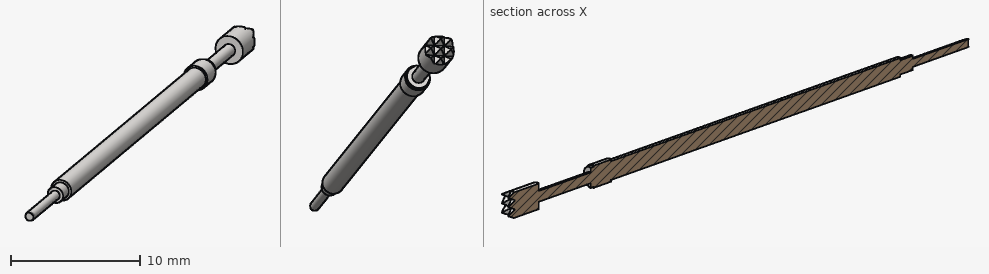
import cadquery as cq


head_diameter = 2.3
stem_diameter = 1.0
collar_diameter = 2.0
barrel_diameter = 1.7
tail_sleeve_diameter = 1.3
tail_pin_diameter = 0.75

overall_length = 44.6
head_length = 3.0
stem_length = 5.0
collar_length = 2.0
barrel_length = 28.0
tail_sleeve_length = 1.2

nose_length = 0.3
nose_diameter = 1.8

pin_chamfer_length = 0.16
pin_chamfer_depth = 0.04

points_per_row = 3
point_pitch = 0.8
point_height = 0.65

dimple_diameter = 0.3
dimple_depth = 0.15
dimple_distances = (1.6, 3.3)

collar_front_y = collar_length
head_base_y = collar_front_y + stem_length
head_tip_y = head_base_y + head_length
barrel_end_y = -barrel_length
sleeve_end_y = barrel_end_y - tail_sleeve_length
pin_end_y = head_tip_y - overall_length


def rod(diameter, start_y, end_y):
    """Round bar on the Y axis between two positions."""
    bar = cq.Workplane("XZ", origin=(0, end_y, 0)).circle(diameter / 2)
    return bar.extrude(end_y - start_y)


def make_collar():
    """Collar with a short, narrower nose at its front."""
    radius = collar_diameter / 2
    profile = (
        cq.Workplane("XY")
        .moveTo(0, 0)
        .lineTo(radius, 0)
        .lineTo(radius, collar_front_y - nose_length)
        .lineTo(nose_diameter / 2, collar_front_y - nose_length)
        .lineTo(nose_diameter / 2, collar_front_y)
        .lineTo(0, collar_front_y)
        .close()
    )
    return profile.revolve(360, (0, 0, 0), (0, 1, 0))


def make_ridges(plane_name):
    """Row of V-shaped ridges whose crests run normal to the given plane."""
    head_radius = head_diameter / 2
    outer_crest = (points_per_row - 1) / 2 * point_pitch
    groove_slope = point_height / (point_pitch / 2)
    rim_y = head_tip_y - groove_slope * (head_radius - outer_crest)
    valley_y = head_tip_y - point_height
    outline = [(-head_radius, head_base_y), (-head_radius, rim_y), (-outer_crest, head_tip_y)]
    for index in range(1, points_per_row):
        crest = -outer_crest + index * point_pitch
        outline.append((crest - point_pitch / 2, valley_y))
        outline.append((crest, head_tip_y))
    outline.append((head_radius, rim_y))
    outline.append((head_radius, head_base_y))
    return cq.Workplane(plane_name).polyline(outline).close().extrude(head_radius, both=True)


def make_head():
    """Cylindrical head with crossed V grooves leaving a grid of points."""
    head = rod(head_diameter, head_base_y, head_tip_y)
    crests_along_z = make_ridges("XY")
    crests_along_x = make_ridges("ZY")
    return head.intersect(crests_along_z).intersect(crests_along_x)


def make_tail_pin():
    """Slim pin leaving the tail sleeve, chamfered at its free end."""
    pin = rod(tail_pin_diameter, pin_end_y, sleeve_end_y)
    return pin.faces("<Y").chamfer(pin_chamfer_length, pin_chamfer_depth)


def make_dimple(distance):
    """Cutter for a blind round dimple in the -X side of the barrel."""
    floor_x = -barrel_diameter / 2 + dimple_depth
    plane = cq.Workplane("YZ", origin=(floor_x, barrel_end_y + distance, 0))
    return plane.circle(dimple_diameter / 2).extrude(-barrel_diameter / 2)


barrel = rod(barrel_diameter, barrel_end_y, 0)
for distance in dimple_distances:
    barrel = barrel.cut(make_dimple(distance))

result = (
    barrel
    .union(make_collar())
    .union(rod(stem_diameter, collar_front_y, head_base_y))
    .union(make_head())
    .union(rod(tail_sleeve_diameter, sleeve_end_y, barrel_end_y))
    .union(make_tail_pin())
)